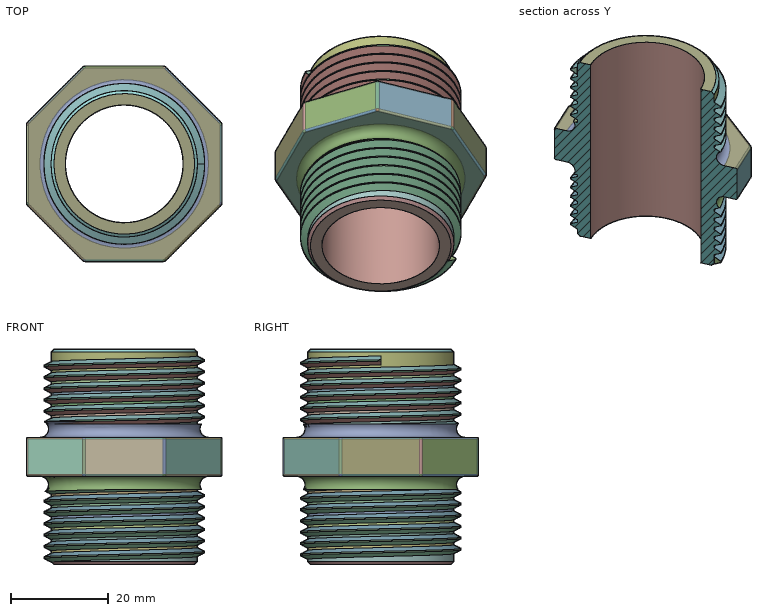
import cadquery as cq
import math


total_length = 44.0
half_length = total_length / 2
bore_radius = 12.0
end_chamfer = 0.6

collar_sides = 8
across_flats = 40.0
collar_height = 8.0
collar_top = collar_height / 2
corner_round = 1.0
rim_round = 0.4

thread_pitch = 25.4 / 11
thread_half_angle = math.radians(55.0 / 2)
thread_root_radius = 14.95
thread_crest_radius = 16.43
thread_crest_width = 0.3
thread_embed = 0.3

upper_thread_start = 2.31
lower_thread_start = 1.4

groove_section_radius = 1.7
groove_ring_radius = 17.2
groove_centre_z = collar_top + groove_section_radius
shoulder_z = 6.69


def make_collar():
    """Octagonal prism with rounded corners and rounded rims."""
    circumscribed_diameter = across_flats / math.cos(math.pi / collar_sides)
    return (
        cq.Workplane("XY")
        .workplane(offset=-collar_top)
        .transformed(rotate=(0, 0, 180 / collar_sides))
        .polygon(collar_sides, circumscribed_diameter)
        .extrude(collar_height)
        .edges("|Z")
        .fillet(corner_round)
        .faces("<Z or >Z")
        .edges()
        .fillet(rim_round)
    )


def make_core():
    """Thread core with chamfered ends, plus the wider neck that the grooves are cut from."""
    core = (
        cq.Workplane("XY")
        .workplane(offset=-half_length)
        .circle(thread_root_radius)
        .extrude(total_length)
        .faces("<Z or >Z")
        .edges()
        .chamfer(end_chamfer)
        .rotate((0, 0, 0), (0, 0, 1), 180)
    )
    neck = (
        cq.Workplane("XY")
        .workplane(offset=-shoulder_z)
        .circle(groove_ring_radius)
        .extrude(2 * shoulder_z)
    )
    return core.union(neck)


def make_thread(start_offset):
    """Right-handed thread of the lower end, starting on the -X side and ending inside the groove."""
    buried_radius = thread_root_radius - thread_embed
    crest_half = thread_crest_width / 2
    base_half = crest_half + (thread_crest_radius - buried_radius) * math.tan(thread_half_angle)
    tooth = (
        cq.Workplane("XZ")
        .moveTo(buried_radius, -base_half)
        .lineTo(thread_crest_radius, -crest_half)
        .lineTo(thread_crest_radius, crest_half)
        .lineTo(buried_radius, base_half)
        .close()
    )
    climb = half_length - start_offset - groove_centre_z
    helix = cq.Wire.makeHelix(thread_pitch, climb, thread_root_radius)
    thread = tooth.sweep(cq.Workplane(obj=helix), isFrenet=True)
    return thread.rotate((0, 0, 0), (0, 0, 1), 180).translate((0, 0, start_offset - half_length))


def make_groove(centre_z):
    """Ring of circular section that touches the collar face."""
    ring = cq.Solid.makeTorus(
        groove_ring_radius, groove_section_radius, cq.Vector(0, 0, centre_z), cq.Vector(0, 0, 1)
    )
    return cq.Workplane(obj=ring)


lower_thread = make_thread(lower_thread_start)
upper_thread = make_thread(upper_thread_start).rotate((0, 0, 0), (0, 1, 0), 180)

threaded_core = make_core().union(lower_thread).union(upper_thread)
for groove_z in (-groove_centre_z, groove_centre_z):
    threaded_core = threaded_core.cut(make_groove(groove_z))

bore = cq.Workplane("XY").workplane(offset=-half_length).circle(bore_radius).extrude(total_length)

result = threaded_core.union(make_collar()).cut(bore)